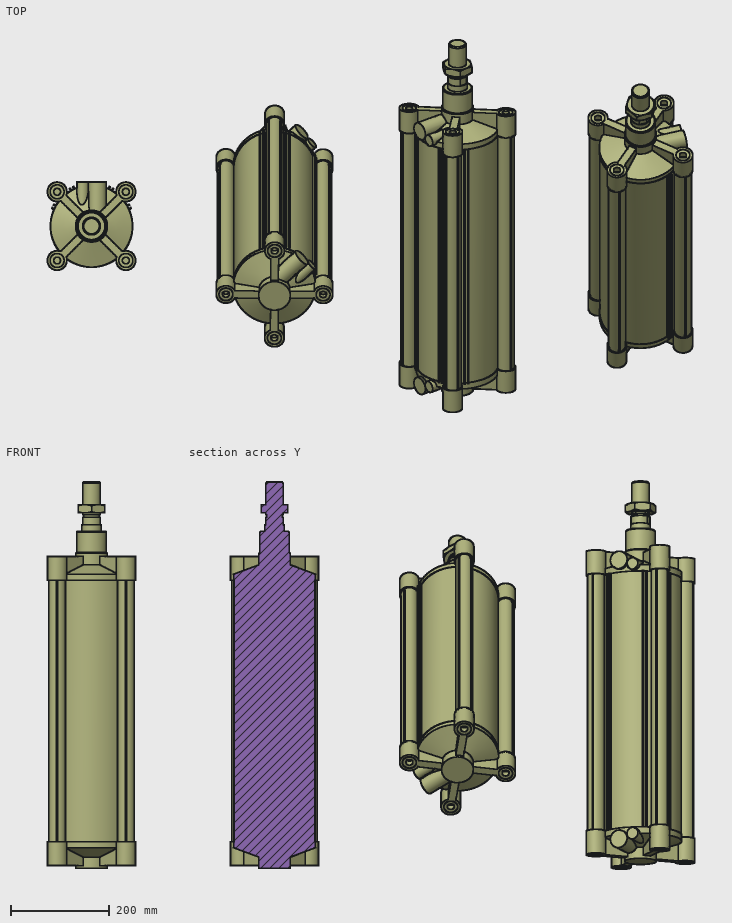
import cadquery as cq
import math

body_length = 630.0
head_height = 49.0
head_diameter = 168.0
corner_spacing = 140.0
corner_boss_diameter = 40.0
rib_width = 16.0

neck_diameter = 65.0
cone_top_depth = 17.0
cone_edge_depth = 36.0

nut_seat_diameter = 28.5
nut_seat_depth = 1.0
nut_hole_diameter = 14.0
nut_hole_depth = 15.0

side_boss_end = 90.0
port_diameter = 36.5
port_x = 12.0
port_depth = 25.0
cushion_diameter = 24.0
cushion_x = -18.0
cushion_depth = 34.5

barrel_diameter = 166.0
corner_tube_diameter = 35.0
corner_slot_width = 3.0
corner_slot_depth = 5.0
rail_width = 10.0
rail_top_radius = 88.5
rail_angle_from_diagonal = 17.7
rail_slot_width = 6.5
rail_slot_floor_radius = 83.0
rail_lip_thickness = 1.5
rail_opening_width = 5.0

rear_pilot_height = 6.0
front_pilot_height = 8.0
guide_diameter = 61.0
guide_top_above_head = 51.5
guide_chamfer = 2.0

rod_diameter = 40.0
rod_shoulder_above_head = 80.0
flat_section_diameter = 39.5
flat_section_length = 16.0
across_flats = 36.0
thread_diameter = 36.0
thread_root_diameter = 31.8
thread_length = 72.0
thread_relief_length = 4.5
thread_start_chamfer = 3.0

lock_nut_across_flats = 55.0
lock_nut_thickness = 17.0
lock_nut_below_tip = 46.5
lock_nut_chamfer_angle = 30.0

corner_offset = corner_spacing / 2
corners = [(sx * corner_offset, sy * corner_offset) for sx in (-1, 1) for sy in (-1, 1)]
barrel_length = body_length - 2 * head_height
rod_shoulder_z = body_length + rod_shoulder_above_head
rod_tip_z = rod_shoulder_z + thread_length


def cylinder(diameter, bottom, top):
    """Solid cylinder on the Z axis between two heights."""
    return cq.Workplane("XY").workplane(offset=bottom).circle(diameter / 2).extrude(top - bottom)


def head_core():
    """Disc, cone and central neck, revolved about Z."""
    neck_radius = neck_diameter / 2
    head_radius = head_diameter / 2
    profile = [
        (0, 0),
        (head_radius, 0),
        (head_radius, head_height - cone_edge_depth),
        (neck_radius, head_height - cone_top_depth),
        (neck_radius, head_height),
        (0, head_height),
    ]
    return cq.Workplane("XZ").polyline(profile).close().revolve(360, (0, 0), (0, 1))


def side_boss(diameter, x, depth):
    """Cylinder along +Y that starts at the middle of the head."""
    return (
        cq.Workplane("XZ")
        .center(x, head_height - depth)
        .circle(diameter / 2)
        .extrude(-side_boss_end)
    )


def head():
    """End head with its inner face at Z = 0 and its outer face up."""
    body = head_core()
    diagonal = corner_spacing * math.sqrt(2)
    for angle in (45, 135):
        rib = cq.Workplane("XY").rect(diagonal, rib_width).extrude(head_height)
        body = body.union(rib.rotate((0, 0, 0), (0, 0, 1), angle))
    bosses = cq.Workplane("XY").pushPoints(corners).circle(corner_boss_diameter / 2).extrude(head_height)
    body = body.union(bosses)
    body = body.union(side_boss(port_diameter, port_x, port_depth))
    body = body.union(side_boss(cushion_diameter, cushion_x, cushion_depth))
    outer_face = cq.Workplane("XY").workplane(offset=head_height).pushPoints(corners)
    seats = outer_face.circle(nut_seat_diameter / 2).extrude(-nut_seat_depth)
    holes = outer_face.circle(nut_hole_diameter / 2).extrude(-nut_hole_depth)
    return body.cut(seats).cut(holes)


def sensor_rail():
    """Rail along the +X side of the barrel with an undercut slot."""
    rail_center = cq.Workplane("XY").center(rail_top_radius / 2, 0)
    rail = rail_center.rect(rail_top_radius, rail_width).extrude(barrel_length)
    lip_radius = rail_top_radius - rail_lip_thickness
    slot_height = lip_radius - rail_slot_floor_radius
    slot = (
        cq.Workplane("XY")
        .center(rail_slot_floor_radius + slot_height / 2, 0)
        .rect(slot_height, rail_slot_width)
        .extrude(barrel_length)
    )
    opening = (
        cq.Workplane("XY")
        .center(rail_top_radius, 0)
        .rect(2 * rail_lip_thickness, rail_opening_width)
        .extrude(barrel_length)
    )
    return rail.cut(slot).cut(opening)


def barrel():
    """Round tube body with four slotted corner tubes and four sensor rails on the +Y half."""
    body = cylinder(barrel_diameter, 0, barrel_length)
    tubes = cq.Workplane("XY").pushPoints(corners).circle(corner_tube_diameter / 2).extrude(barrel_length)
    body = body.union(tubes)
    for diagonal_angle in (45, 135):
        for side in (-1, 1):
            angle = diagonal_angle + side * rail_angle_from_diagonal
            body = body.union(sensor_rail().rotate((0, 0, 0), (0, 0, 1), angle))
    slot_center = corner_offset + corner_tube_diameter / 2
    for sx in (-1, 1):
        for sy in (-1, 1):
            x_slot = cq.Workplane("XY").center(sx * slot_center, sy * corner_offset)
            y_slot = cq.Workplane("XY").center(sx * corner_offset, sy * slot_center)
            body = body.cut(x_slot.rect(2 * corner_slot_depth, corner_slot_width).extrude(barrel_length))
            body = body.cut(y_slot.rect(corner_slot_width, 2 * corner_slot_depth).extrude(barrel_length))
    return body.translate((0, 0, head_height))


def rod_guide():
    """Front pilot and the stepped guide above it."""
    guide_top = body_length + guide_top_above_head
    pilot_top = body_length + front_pilot_height
    pilot_chamfer = (neck_diameter - guide_diameter) / 2
    pilot = cylinder(neck_diameter, body_length, pilot_top).faces(">Z").chamfer(pilot_chamfer)
    guide = cylinder(guide_diameter, body_length, guide_top).faces(">Z").chamfer(guide_chamfer)
    return pilot.union(guide)


def piston_rod():
    """Rod with two wrench flats, a thread relief and a chamfered thread cylinder."""
    flats_bottom = rod_shoulder_z - flat_section_length
    relief_top = rod_shoulder_z + thread_relief_length
    rod = cylinder(rod_diameter, body_length, flats_bottom)
    flat_section = cylinder(flat_section_diameter, flats_bottom, rod_shoulder_z)
    flat_limits = (
        cq.Workplane("XY")
        .workplane(offset=flats_bottom)
        .rect(across_flats, rod_diameter)
        .extrude(flat_section_length)
    )
    relief = cylinder(thread_root_diameter, rod_shoulder_z, relief_top)
    chamfer_width = (thread_diameter - thread_root_diameter) / 2
    thread = (
        cylinder(thread_diameter, relief_top, rod_tip_z)
        .faces(">Z").chamfer(thread_start_chamfer, chamfer_width)
    )
    return rod.union(flat_section.intersect(flat_limits)).union(relief).union(thread)


def lock_nut():
    """Hexagon nut with two flats facing +X and -X, and corners rounded off by a cone at both ends."""
    top = rod_tip_z - lock_nut_below_tip
    corner_radius = lock_nut_across_flats / 2 / math.cos(math.pi / 6)
    hexagon = (
        cq.Workplane("XY")
        .workplane(offset=top - lock_nut_thickness)
        .polygon(6, 2 * corner_radius)
        .extrude(lock_nut_thickness)
        .rotate((0, 0, 0), (0, 0, 1), 90)
    )
    chamfer_width = corner_radius - lock_nut_across_flats / 2
    chamfer_height = chamfer_width * math.tan(math.radians(lock_nut_chamfer_angle))
    rounded = (
        cylinder(2 * corner_radius, top - lock_nut_thickness, top)
        .faces(">Z or <Z")
        .chamfer(chamfer_height, chamfer_width)
    )
    return hexagon.intersect(rounded)


front_head = head().translate((0, 0, body_length - head_height))
rear_head = head().mirror("XY").translate((0, 0, head_height))
rear_pilot = cylinder(neck_diameter, -rear_pilot_height, 0)

result = barrel()
for piece in (front_head, rear_head, rear_pilot, rod_guide(), piston_rod(), lock_nut()):
    result = result.union(piece)